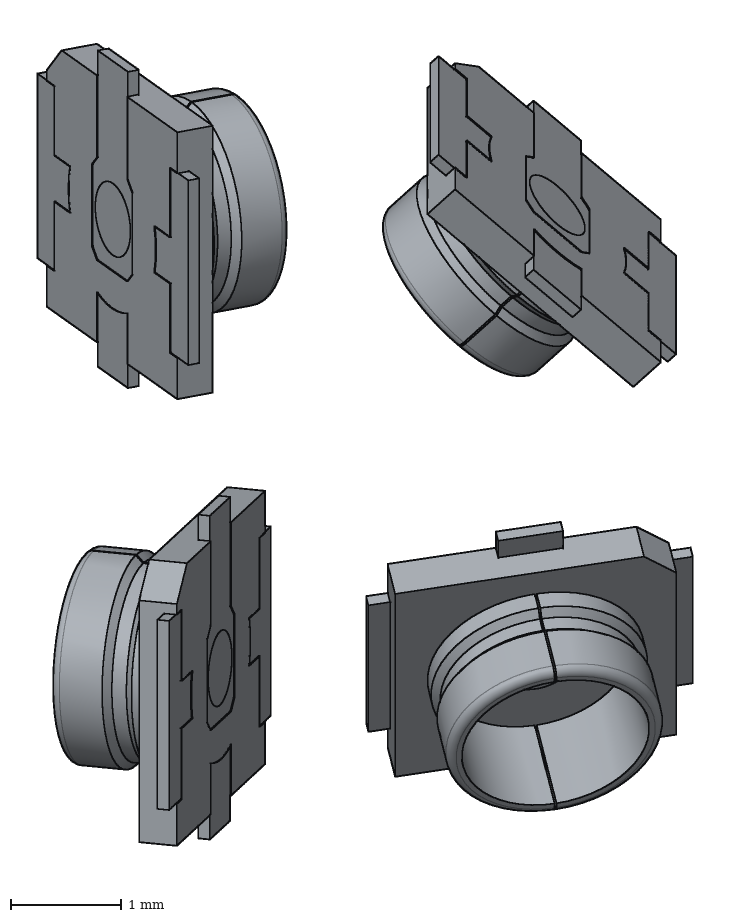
import cadquery as cq
import math


OVERALL_X = 3.0
OVERALL_Y = 1.3
OVERALL_Z = 3.08

BASE_SIDE = 2.6
BASE_THICKNESS = 0.36
CORNER_CHAMFER = 0.3

CONTACT_THICKNESS = 0.11
CONTACT_SETBACK = 0.01
POCKET_DEPTH = CONTACT_SETBACK + CONTACT_THICKNESS
LEAD_WIDTH = 0.6

PAD_WIDTH = 0.8
PAD_HEIGHT = 0.998
PAD_CHAMFER = (PAD_WIDTH - LEAD_WIDTH) / 2
PIN_DIAMETER = 0.7

SIDE_HEIGHT = 1.8
SIDE_INNER_X = 1.15
TONGUE_HEIGHT = 0.45

RING_RADIUS = 1.0
RING_BORE_RADIUS = 0.865
RING_HEIGHT = OVERALL_Y - BASE_THICKNESS
RIM_FILLET = 0.08
RING_GAP = 0.02

GROOVE_START = 0.17
GROOVE_DEPTH = 0.07
GROOVE_FLOOR_LENGTH = 0.14


def plane_at(y):
    """XZ workplane at the given Y; a negative extrusion goes toward +Y."""
    return cq.Workplane("XZ", origin=(0, y, 0))


def signal_outline(plane):
    """Wire of the signal contact: a chamfered pad with a lead running to the +Z end."""
    half_lead = LEAD_WIDTH / 2
    half_pad = PAD_WIDTH / 2
    pad_end = PAD_HEIGHT / 2
    pad_shoulder = pad_end - PAD_CHAMFER
    return plane.polyline([
        (half_lead, OVERALL_Z / 2),
        (half_lead, pad_end),
        (half_pad, pad_shoulder),
        (half_pad, -pad_shoulder),
        (half_lead, -pad_end),
        (-half_lead, -pad_end),
        (-half_pad, -pad_shoulder),
        (-half_pad, pad_shoulder),
        (-half_lead, pad_end),
        (-half_lead, OVERALL_Z / 2),
    ]).close()


def end_ground_outline(plane):
    """Wire of the -Z ground contact: a strip whose inner end follows the ring bore."""
    half_width = LEAD_WIDTH / 2
    corner_z = -math.sqrt(RING_BORE_RADIUS**2 - half_width**2)
    return (
        plane.moveTo(-half_width, -OVERALL_Z / 2)
        .lineTo(half_width, -OVERALL_Z / 2)
        .lineTo(half_width, corner_z)
        .threePointArc((0, -RING_BORE_RADIUS), (-half_width, corner_z))
        .close()
    )


def side_ground_outline(plane, side):
    """Wire of a T-shaped side ground contact; side is -1 for -X and 1 for +X."""
    outer_x = side * OVERALL_X / 2
    inner_x = side * SIDE_INNER_X
    half_tongue = TONGUE_HEIGHT / 2
    tip_x = side * math.sqrt(RING_BORE_RADIUS**2 - half_tongue**2)
    return (
        plane.moveTo(outer_x, -SIDE_HEIGHT / 2)
        .lineTo(inner_x, -SIDE_HEIGHT / 2)
        .lineTo(inner_x, -half_tongue)
        .lineTo(tip_x, -half_tongue)
        .threePointArc((side * RING_BORE_RADIUS, 0), (tip_x, half_tongue))
        .lineTo(inner_x, half_tongue)
        .lineTo(inner_x, SIDE_HEIGHT / 2)
        .lineTo(outer_x, SIDE_HEIGHT / 2)
        .close()
    )


def contact_plane():
    """Workplane of the exposed contact faces."""
    return plane_at(CONTACT_SETBACK)


def make_base():
    """Square plate with one chamfered corner, contact pockets and a pin hole."""
    base = (
        plane_at(0)
        .rect(BASE_SIDE, BASE_SIDE)
        .extrude(-BASE_THICKNESS)
        .edges("|Y and <X and >Z")
        .chamfer(CORNER_CHAMFER)
    )
    pocket_outlines = [signal_outline(plane_at(0)), end_ground_outline(plane_at(0))]
    for side in (-1, 1):
        pocket_outlines.append(side_ground_outline(plane_at(0), side))
    for outline in pocket_outlines:
        base = base.cut(outline.extrude(-POCKET_DEPTH))
    return base.cut(make_pin())


def make_pin():
    """Round centre pin, from the contact face to the inner face of the base."""
    pin_length = BASE_THICKNESS - CONTACT_SETBACK
    return contact_plane().circle(PIN_DIAMETER / 2).extrude(-pin_length)


def make_signal_contact():
    """Signal lead and pad, with a hole for the pin."""
    return signal_outline(contact_plane()).extrude(-CONTACT_THICKNESS).cut(make_pin())


def make_end_ground():
    """Ground contact at the -Z end."""
    return end_ground_outline(contact_plane()).extrude(-CONTACT_THICKNESS)


def make_side_ground(side):
    """Ground contact on one X side."""
    return side_ground_outline(contact_plane(), side).extrude(-CONTACT_THICKNESS)


def make_ring_half(side):
    """Half of the grooved ring on one X side, clear of the gap along X = 0."""
    foot_y = BASE_THICKNESS
    rim_y = foot_y + RING_HEIGHT
    groove_radius = RING_RADIUS - GROOVE_DEPTH
    groove_y = foot_y + GROOVE_START
    floor_start_y = groove_y + GROOVE_DEPTH
    floor_end_y = floor_start_y + GROOVE_FLOOR_LENGTH
    ring = (
        cq.Workplane("XY")
        .moveTo(RING_BORE_RADIUS, foot_y)
        .lineTo(RING_RADIUS, foot_y)
        .lineTo(RING_RADIUS, groove_y)
        .lineTo(groove_radius, floor_start_y)
        .lineTo(groove_radius, floor_end_y)
        .lineTo(RING_RADIUS, floor_end_y + GROOVE_DEPTH)
        .lineTo(RING_RADIUS, rim_y - RIM_FILLET)
        .radiusArc((RING_RADIUS - RIM_FILLET, rim_y), -RIM_FILLET)
        .lineTo(RING_BORE_RADIUS, rim_y)
        .close()
        .revolve(360, (0, 0, 0), (0, 1, 0))
    )
    half_space = (
        plane_at(foot_y)
        .center(side * (RING_GAP + RING_RADIUS) / 2, 0)
        .rect(RING_RADIUS, 2 * RING_RADIUS)
        .extrude(-RING_HEIGHT)
    )
    return ring.intersect(half_space)


base = make_base()
signal_contact = make_signal_contact()
pin = make_pin()
end_ground = make_end_ground()
side_grounds = [make_side_ground(side) for side in (-1, 1)]
ring_halves = [make_ring_half(side) for side in (-1, 1)]

result = cq.Compound.makeCompound([
    base.val(),
    signal_contact.val(),
    pin.val(),
    end_ground.val(),
    *[ground.val() for ground in side_grounds],
    *[half.val() for half in ring_halves],
])